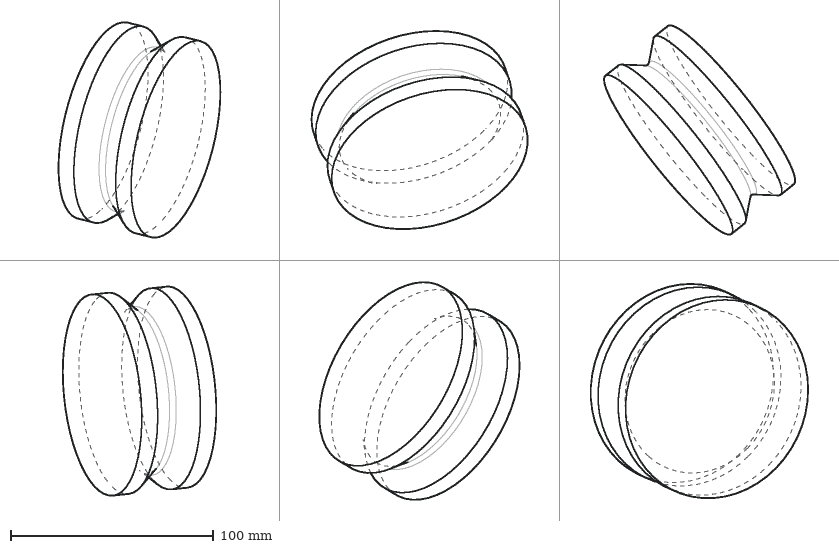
import cadquery as cq
import math

wheel_diameter = 100.0
wheel_width = 40.0
groove_width = 23.0
flank_angle = math.radians(40.0)
root_fillet = 2.8

wheel_radius = wheel_diameter / 2
half_width = wheel_width / 2
half_groove = groove_width / 2

root_half_width = root_fillet * math.sin(flank_angle)
flank_depth = (half_groove - root_half_width) * math.tan(flank_angle)
tangent_radius = wheel_radius - flank_depth
root_radius = tangent_radius - root_fillet * (1 - math.cos(flank_angle))

half_section = (
    cq.Workplane("XY")
    .moveTo(-half_width, 0)
    .lineTo(-half_width, wheel_radius)
    .lineTo(-half_groove, wheel_radius)
    .lineTo(-root_half_width, tangent_radius)
    .threePointArc((0, root_radius), (root_half_width, tangent_radius))
    .lineTo(half_groove, wheel_radius)
    .lineTo(half_width, wheel_radius)
    .lineTo(half_width, 0)
    .close()
)
result = half_section.revolve(360, (0, 0, 0), (1, 0, 0))